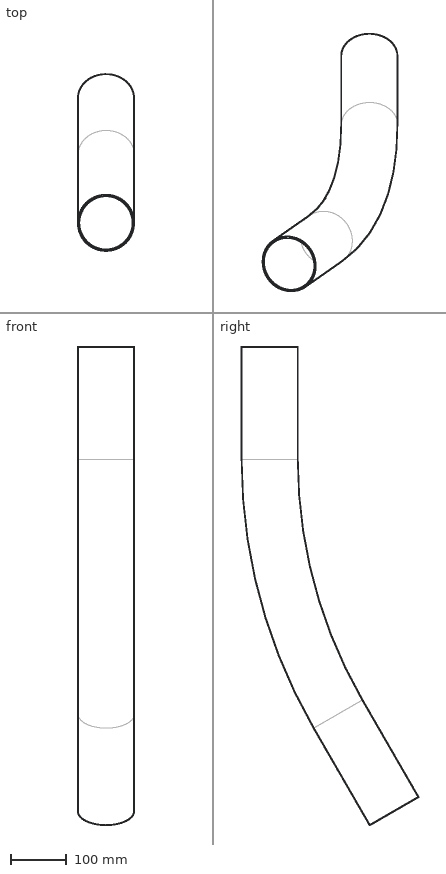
import cadquery as cq
import math

total_height = 862.0
outer_diameter = 102.0
inner_diameter = 96.0
straight_length = 202.5
bend_angle = math.radians(30.0)

straight_rise = straight_length * (1 + math.cos(bend_angle))
rim_drop = outer_diameter / 2 * math.sin(bend_angle)
bend_radius = (total_height - straight_rise - rim_drop) / math.sin(bend_angle)


def point_on_bend(angle):
    """Centreline point (Y, Z) after turning by angle from the upper straight end."""
    y = bend_radius * (1 - math.cos(angle))
    z = -bend_radius * math.sin(angle)
    return y, z


bend_end_y, bend_end_z = point_on_bend(bend_angle)
lower_end = (
    bend_end_y + straight_length * math.sin(bend_angle),
    bend_end_z - straight_length * math.cos(bend_angle),
)
centreline = (
    cq.Workplane("YZ")
    .moveTo(0, straight_length)
    .lineTo(0, 0)
    .threePointArc(point_on_bend(bend_angle / 2), (bend_end_y, bend_end_z))
    .lineTo(*lower_end)
)

result = (
    cq.Workplane("XY", origin=(0, 0, straight_length))
    .circle(outer_diameter / 2)
    .circle(inner_diameter / 2)
    .sweep(centreline)
)